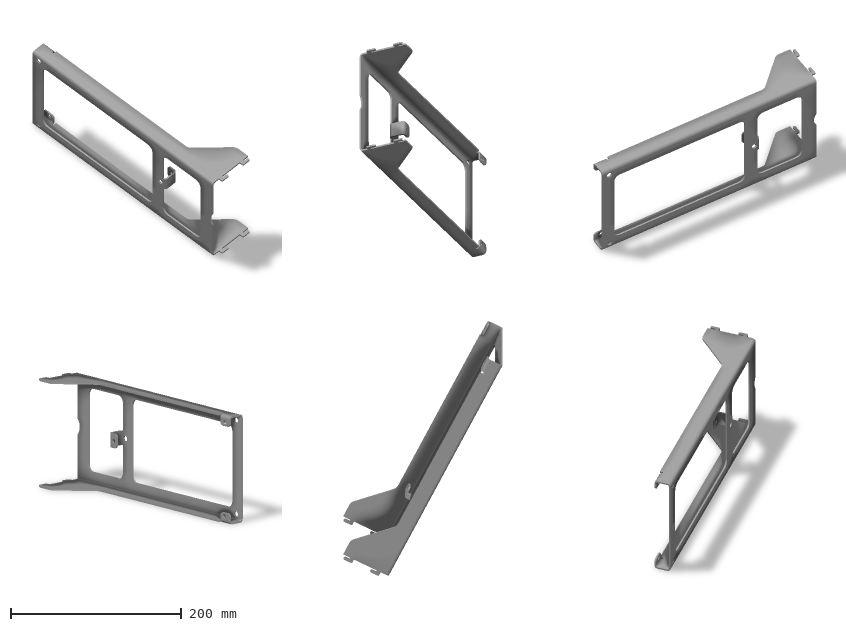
import cadquery as cq

total_length = 300.0
depth = 60.0
height = 130.0

sheet = 2.0
inner_bend = 2.0
outer_bend = inner_bend + sheet

web_length = 294.5
window_height = 100.2
window_radius = 8.0
window_spans = [(16.5, 196.2), (213.3, 274.8)]

notch_depth = 3.5
notch_half_height = 9.3
notch_radius = (notch_depth**2 + notch_half_height**2) / (2 * notch_depth)

strip_depth = depth / 3
slope_end = 275.0
slope_start = slope_end - (depth - strip_depth)
slope_radius = 9.0

hook_bottoms = [10.8, 46.0]
hook_height = 11.7
hook_neck = 4.8
hook_finger = 3.5
hook_tip_radius = 1.5

lip_width = 16.8
lip_height = 13.0
relief_width = 2.5
relief_depth = 4.2
tab_radius = 4.2
clip_height = 17.5
clip_length = 13.8

clearance_diameter = 7.0
tab_hole_diameter = 5.0
lip_hole_x = 10.0
lip_hole_z = 56.5
clip_hole_x = 209.0
hole_points = [(lip_hole_x, lip_hole_z), (lip_hole_x, -lip_hole_z), (clip_hole_x, 0)]


def box(x_range, y_range, z_range):
    """Box between the given limits."""
    lows, highs = zip(x_range, y_range, z_range)
    sizes = [high - low for low, high in zip(lows, highs)]
    return cq.Workplane("XY").box(*sizes, centered=False).translate(lows)


def folded_tube(x_range, y_range, z_range, axis):
    """Closed rectangular sheet tube along the axis, with all four bends rounded."""
    ranges = {"X": x_range, "Y": y_range, "Z": z_range}
    outer = box(x_range, y_range, z_range).edges("|" + axis).fillet(outer_bend)
    inner_ranges = [
        limits if name == axis else (limits[0] + sheet, limits[1] - sheet)
        for name, limits in ranges.items()
    ]
    inner = box(*inner_ranges).edges("|" + axis).fillet(inner_bend)
    return outer.cut(inner)


def front_cylinder(x, z, diameter, y_start, y_end):
    """Cylinder along Y between two depths."""
    base = cq.Workplane("XZ", origin=(x, y_start, z))
    return base.circle(diameter / 2).extrude(y_start - y_end)


def web_with_bends():
    """Front web with the two long bends that lead into the flanges."""
    x_range = (0, web_length)
    z_range = (-height / 2, height / 2)
    tube = folded_tube(x_range, (0, strip_depth), z_range, "X")
    web = tube.intersect(box(x_range, (0, outer_bend), z_range))
    for start, end in window_spans:
        z_half = window_height / 2
        window = box((start, end), (0, sheet), (-z_half, z_half))
        web = web.cut(window.edges("|Y").fillet(window_radius))
    notch_center = web_length - notch_depth + notch_radius
    return web.cut(front_cylinder(notch_center, 0, 2 * notch_radius, 0, sheet))


def hook(bottom):
    """Flat hook: a neck out of the flange end and a finger pointing to +Y."""
    finger_start = total_length - hook_finger
    top = bottom + hook_height
    neck = box((web_length - sheet, total_length), (bottom, bottom + hook_neck), (0, sheet))
    finger = box((finger_start, total_length), (bottom, top), (0, sheet))
    finger = finger.edges("|Z and >Y").fillet(hook_tip_radius)
    blank = neck.union(finger)
    return blank.edges("|Z and >X and <Y").fillet(hook_tip_radius)


def flange():
    """Flat part of one flange, lying on Z = 0."""
    plate_start = lip_width + relief_width
    lip_bend_start = strip_depth - relief_depth
    plate = (
        cq.Workplane("XY")
        .moveTo(0, outer_bend)
        .lineTo(web_length, outer_bend)
        .lineTo(web_length, depth)
        .lineTo(slope_end, depth)
        .lineTo(slope_start, strip_depth)
        .lineTo(plate_start, strip_depth)
        .lineTo(plate_start, lip_bend_start)
        .lineTo(lip_width, lip_bend_start)
        .lineTo(lip_width, strip_depth - outer_bend)
        .lineTo(0, strip_depth - outer_bend)
        .close()
        .extrude(sheet)
    )
    slope_middle = ((slope_start + slope_end) / 2, (strip_depth + depth) / 2, sheet / 2)
    slope_face = cq.selectors.NearestToPointSelector(slope_middle)
    plate = plate.faces(slope_face).edges("|Z").fillet(slope_radius)
    for bottom in hook_bottoms:
        plate = plate.union(hook(bottom))
    return plate


def end_lips():
    """Two lips folded inward from the flanges at the plain end."""
    x_range = (0, lip_width)
    z_half = height / 2
    tube = folded_tube(x_range, (0, strip_depth), (-z_half, z_half), "X")
    back = tube.intersect(box(x_range, (strip_depth - outer_bend, strip_depth), (-z_half, z_half)))
    gap_half = z_half - lip_height
    lips = back.cut(box(x_range, (0, strip_depth), (-gap_half, gap_half)))
    return lips.edges("|Y").fillet(tab_radius)


def middle_clip():
    """Clip folded back from the middle bar, then folded behind the bar."""
    bar_edge = window_spans[1][0]
    right = bar_edge + outer_bend
    left = right - clip_length
    z_range = (-clip_height / 2, clip_height / 2)
    tube = folded_tube((left - outer_bend, right), (0, strip_depth), z_range, "Z")
    side = tube.intersect(box((bar_edge, right), (0, strip_depth), z_range))
    back = tube.intersect(box((left, bar_edge), (outer_bend, strip_depth), z_range))
    return side.union(back.edges("|Y and <X").fillet(tab_radius))


part = web_with_bends().union(end_lips()).union(middle_clip())
lower_flange = flange().translate((0, 0, -height / 2))
part = part.union(lower_flange).union(lower_flange.mirror("XY"))
for x, z in hole_points:
    part = part.cut(front_cylinder(x, z, clearance_diameter, 0, sheet))
    part = part.cut(front_cylinder(x, z, tab_hole_diameter, sheet, strip_depth))

result = part